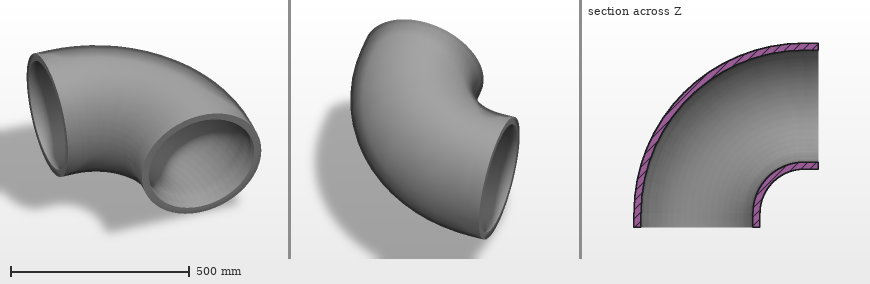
import cadquery as cq

outer_diameter = 355.0
wall_thickness = 21.1
bend_radius = 300.0
bend_angle = 90.0
end_length = 40.0

outer_radius = outer_diameter / 2
bore_radius = outer_radius - wall_thickness

bend_start_y = end_length
outlet_axis_y = bend_start_y + bend_radius


def pipe_section(plane):
    """Annular pipe cross-section on the given plane."""
    return cq.Workplane(plane).circle(outer_radius).circle(bore_radius)


def section_plane(x, y, normal):
    """Plane across the pipe, with its local Y axis along global Z."""
    x_direction = cq.Vector(0, 0, 1).cross(cq.Vector(*normal))
    return cq.Plane(origin=(x, y, 0), xDir=x_direction.toTuple(), normal=normal)


def inlet_end():
    """Straight end that opens toward -Y."""
    return pipe_section(section_plane(0, 0, (0, 1, 0))).extrude(end_length)


def bend():
    """Quarter-torus pipe turning from +Y to +X about a vertical axis."""
    section = pipe_section(section_plane(0, bend_start_y, (0, 1, 0)))
    return section.revolve(bend_angle, (-bend_radius, 0, 0), (-bend_radius, -1, 0))


def outlet_end():
    """Straight end that opens toward +X."""
    return pipe_section(section_plane(bend_radius, outlet_axis_y, (1, 0, 0))).extrude(end_length)


result = inlet_end().union(bend()).union(outlet_end())